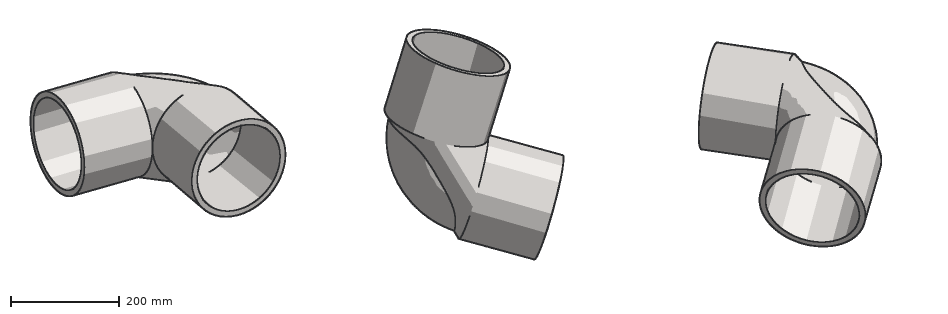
import cadquery as cq
import math

overall_length = 345.0
outer_diameter = 200.0
bore_diameter = 176.5

outer_radius = outer_diameter / 2
bore_radius = bore_diameter / 2
leg_length = overall_length - outer_diameter

QUADRANT_SIZE = 3 * outer_diameter
DIAGONAL_BAR_LENGTH = 4 * outer_diameter

FRONT_LEG_PLANE = cq.Plane(origin=(-outer_radius, 0, 0), xDir=(1, 0, 0), normal=(0, -1, 0))
SIDE_LEG_PLANE = cq.Plane(origin=(0, outer_radius, 0), xDir=(0, 1, 0), normal=(1, 0, 0))


def leg(plane):
    """Straight pipe running outward from the elbow."""
    return cq.Workplane(plane).circle(outer_radius).circle(bore_radius).extrude(leg_length)


def diagonal_body(radius):
    """Oblique cylinder joining the two leg mouths along 45 degree lines.

    It is the overlap of a diagonal elliptical bar and the square quadrant
    bounded by the two mouth planes.
    """
    bar_start = (-outer_radius - outer_diameter, -outer_diameter, 0)
    across_diagonal = cq.Plane(origin=bar_start, xDir=(1, -1, 0), normal=(1, 1, 0))
    oblique = (
        cq.Workplane(across_diagonal)
        .ellipse(radius / math.sqrt(2), radius)
        .extrude(DIAGONAL_BAR_LENGTH)
    )
    quadrant = (
        cq.Workplane()
        .center(-QUADRANT_SIZE / 2, QUADRANT_SIZE / 2)
        .box(QUADRANT_SIZE, QUADRANT_SIZE, QUADRANT_SIZE)
    )
    return oblique.intersect(quadrant)


def rounded_back():
    """Quarter torus bulging out behind the diagonal body."""
    return (
        cq.Workplane(FRONT_LEG_PLANE)
        .circle(bore_radius)
        .revolve(90, (outer_radius, 0), (outer_radius, -1))
    )


legs = leg(FRONT_LEG_PLANE).union(leg(SIDE_LEG_PLANE))
elbow = diagonal_body(outer_radius).union(rounded_back()).cut(diagonal_body(bore_radius))
result = legs.union(elbow)